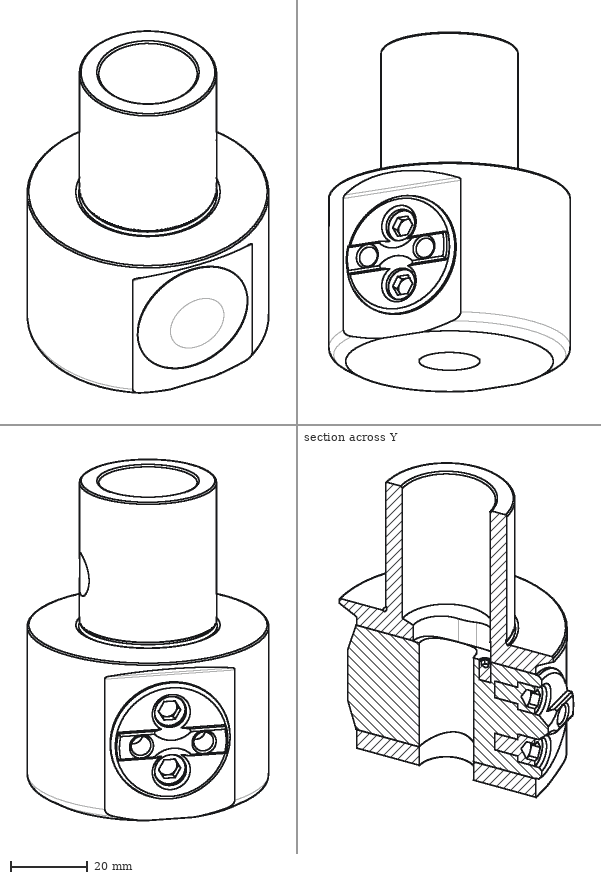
import cadquery as cq
import math

height = 85.0
body_diameter = 63.5
body_radius = body_diameter / 2
body_height = 45.05
body_edge_chamfer = 0.4
base_radius = 27.3
base_bevel_height = 2.55
base_round_radius = 2.5
shank_radius = 18.0
shank_chamfer = 0.4

undercut_radius = 17.7
undercut_top = 46.2
undercut_depth = 0.3
undercut_floor_radius = 18.2
undercut_rim_radius = 18.95
undercut_wall_bottom = 45.6

bore_radius = 12.9
bore_chamfer = 0.5
bore_floor = 44.2
bore_floor_angle = 69.0
coolant_radius = 8.0

cross_hole_radius = 5.7
cross_hole_height = 60.35

flat_distance = 26.5
flat_top = 40.6
runout_top = 43.4
runout_round_radius = 0.85

slot_radius = 8.75
slot_right_center = 1.0
slot_left_center = -4.25

slide_radius = 16.1
slide_height = 21.9
slide_front = -28.3
slide_front_chamfer = 1.0
slide_back = 29.2
slide_back_radius = 7.8
slide_back_cone_start = 26.8

rib_front = -30.2
rib_half_width = 3.7
rib_radius = 15.0
rib_chamfer = 0.6

tapped_radius = 2.6
tapped_depth = 10.2
tapped_mouth_radius = 3.2
tapped_offset = 8.4
drill_half_angle = 59.0

screw_offset = 8.1
screw_sink = 2.0
head_radius = 4.2
head_height = 5.0
counterbore_radius = 4.25
screw_shaft_radius = 2.5
screw_length = 11.9
screw_socket_flats = 5.1
screw_socket_depth = 2.55
screw_cut_radius = 5.1

set_screw_x = -11.5
set_screw_radius = 1.6
set_screw_chamfer = 0.25
set_screw_top = 37.7
set_screw_length = 5.95
set_screw_socket_flats = 1.8
set_screw_socket_depth = 1.3


def drill_tip(radius):
    """Depth of the cone that a drill of this radius leaves."""
    return radius / math.tan(math.radians(drill_half_angle))


def turned(points, origin, axis):
    """Solid turned about an axis; points are (distance along the axis, radius)."""
    side = cq.Vector(0, 0, 1) if axis[2] == 0 else cq.Vector(0, -1, 0)
    normal = cq.Vector(*axis).cross(side)
    plane = cq.Plane(origin=origin, xDir=axis, normal=normal)
    return cq.Workplane(plane).polyline(points).close().revolve(360, (0, 0), (1, 0))


def drilled(radius, depth, mouth, origin, axis):
    """Blind hole with a 45 degree mouth of the given radius and a conical bottom."""
    points = [
        (0, 0),
        (0, mouth),
        (mouth - radius, radius),
        (depth, radius),
        (depth + drill_tip(radius), 0),
    ]
    return turned(points, origin, axis)


def hex_socket(flats, depth, origin, axis, corner_direction):
    """Hexagonal recess with a conical bottom."""
    corner_radius = flats / math.sqrt(3)
    plane = cq.Plane(origin=origin, xDir=corner_direction, normal=axis)
    hexagon = cq.Workplane(plane).polygon(6, 2 * corner_radius).extrude(depth)
    tip = turned([(depth, 0), (depth, flats / 2), (depth + drill_tip(flats / 2), 0)], origin, axis)
    return hexagon.union(tip)


def slide_bar(radius, start, end):
    """Round bar along the slide axis."""
    return turned([(start, 0), (start, radius), (end, radius), (end, 0)], (0, 0, slide_height), (1, 0, 0))


def coolant_hole():
    return cq.Workplane("XY").circle(coolant_radius).extrude(slide_height + slide_radius)


def flat_cutter(side):
    """Material removed for the flat on the side -1 or +1 of X."""
    outside = 2 * body_radius
    slope = (runout_top - flat_top) / (body_radius - flat_distance)
    outside_top = flat_top + slope * (outside - flat_distance)
    outline = [
        (side * flat_distance, 0),
        (side * flat_distance, flat_top),
        (side * outside, outside_top),
        (side * outside, 0),
    ]
    wedge = cq.Workplane("XZ").polyline(outline).close().extrude(body_radius, both=True)
    runout_edge = cq.selectors.NearestToPointSelector((side * flat_distance, 0, flat_top))
    return wedge.edges("|Y").edges(runout_edge).fillet(runout_round_radius)


def housing_blank():
    outline = [
        (0, 0),
        (0, base_radius),
        (base_bevel_height, body_radius),
        (body_height - body_edge_chamfer, body_radius),
        (body_height, body_radius - body_edge_chamfer),
        (body_height, undercut_rim_radius),
        (body_height - undercut_depth, undercut_floor_radius),
        (undercut_wall_bottom, undercut_radius),
        (undercut_top, undercut_radius),
        (undercut_top, shank_radius),
        (height - shank_chamfer, shank_radius),
        (height, shank_radius - shank_chamfer),
        (height, 0),
    ]
    blank = turned(outline, (0, 0, 0), (0, 0, 1))
    bevel_corner = cq.selectors.NearestToPointSelector((0, 0, base_bevel_height))
    return blank.edges(bevel_corner).fillet(base_round_radius)


def bore():
    floor_depth = bore_radius / math.tan(math.radians(bore_floor_angle))
    outline = [
        (bore_floor - floor_depth, 0),
        (bore_floor, bore_radius),
        (height - bore_chamfer, bore_radius),
        (height, bore_radius + bore_chamfer),
        (height, 0),
    ]
    return turned(outline, (0, 0, 0), (0, 0, 1))


def bore_slot():
    middle = (slot_left_center + slot_right_center) / 2
    length = slot_right_center - slot_left_center + 2 * slot_radius
    return (
        cq.Workplane("XY", origin=(middle, 0, slide_height))
        .slot2D(length, 2 * slot_radius)
        .extrude(bore_floor - slide_height)
    )


def make_housing():
    cross_hole = (
        cq.Workplane("XZ", origin=(0, 0, cross_hole_height)).circle(cross_hole_radius).extrude(-body_radius)
    )
    housing = housing_blank().cut(bore()).cut(cross_hole).cut(bore_slot()).cut(coolant_hole())
    for side in (-1, 1):
        housing = housing.cut(flat_cutter(side))
    return housing.cut(slide_bar(slide_radius, -body_radius, body_radius))


def rib():
    """Bar across the front face with round ends and a chamfered outer edge."""
    plate = (
        cq.Workplane("YZ", origin=(rib_front, 0, slide_height))
        .circle(rib_radius)
        .extrude(slide_front - rib_front)
    )
    strip = (
        cq.Workplane("YZ", origin=(rib_front, 0, slide_height))
        .rect(2 * rib_radius, 2 * rib_half_width)
        .extrude(slide_front - rib_front)
    )
    return plate.intersect(strip).faces("<X").chamfer(rib_chamfer)


def screw_origin(side):
    return (slide_front + screw_sink, 0, slide_height + side * screw_offset)


def screw_body(side):
    """Head and shaft of a socket screw, without the socket."""
    outline = [
        (0, 0),
        (0, head_radius),
        (head_height, head_radius),
        (head_height, screw_shaft_radius),
        (screw_length, screw_shaft_radius),
        (screw_length, 0),
    ]
    return turned(outline, screw_origin(side), (1, 0, 0))


def screw_access(side):
    """Counterbore over the screw head that opens outwards as a 45 degree cone."""
    rib_height = slide_front - rib_front
    outline = [
        (0, 0),
        (0, counterbore_radius),
        (screw_cut_radius - counterbore_radius - screw_sink, counterbore_radius),
        (-screw_sink - rib_height, screw_cut_radius + rib_height),
        (-screw_sink - rib_height, 0),
    ]
    return turned(outline, screw_origin(side), (1, 0, 0))


def make_screw(side):
    socket = hex_socket(screw_socket_flats, screw_socket_depth, screw_origin(side), (1, 0, 0), (0, 1, 0))
    return screw_body(side).cut(socket)


def set_screw_body():
    outline = [
        (0, 0),
        (0, set_screw_radius - set_screw_chamfer),
        (set_screw_chamfer, set_screw_radius),
        (set_screw_length, set_screw_radius),
        (set_screw_length, 0),
    ]
    return turned(outline, (set_screw_x, 0, set_screw_top), (0, 0, -1))


def set_screw_hole():
    return (
        cq.Workplane("XY", origin=(set_screw_x, 0, set_screw_top - set_screw_length))
        .circle(set_screw_radius)
        .extrude(2 * set_screw_length)
    )


def make_set_screw():
    top = (set_screw_x, 0, set_screw_top)
    socket = hex_socket(set_screw_socket_flats, set_screw_socket_depth, top, (0, 0, -1), (1, 0, 0))
    return set_screw_body().cut(socket)


def slide_blank():
    outline = [
        (slide_front, 0),
        (slide_front, slide_radius - slide_front_chamfer),
        (slide_front + slide_front_chamfer, slide_radius),
        (slide_back_cone_start, slide_radius),
        (slide_back, slide_back_radius),
        (slide_back, 0),
    ]
    return turned(outline, (0, 0, slide_height), (1, 0, 0))


def make_slide():
    slide = slide_blank().union(rib()).cut(coolant_hole()).cut(set_screw_hole())
    for side in (-1, 1):
        mouth = (rib_front, side * tapped_offset, slide_height)
        slide = slide.cut(drilled(tapped_radius, tapped_depth, tapped_mouth_radius, mouth, (1, 0, 0)))
        slide = slide.cut(screw_access(side)).cut(screw_body(side))
    return slide


housing = make_housing()
slide = make_slide()
screws = [make_screw(side) for side in (-1, 1)]
set_screw = make_set_screw()

result = cq.Compound.makeCompound(
    [housing.val(), slide.val(), *[screw.val() for screw in screws], set_screw.val()]
)